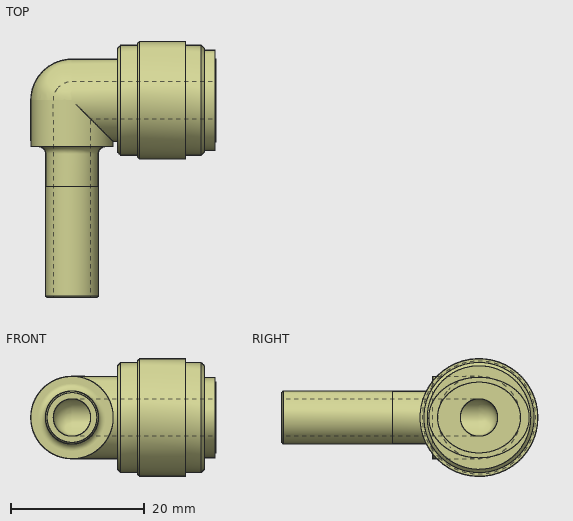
import cadquery as cq


elbow_radius = 6.15
elbow_end = 6.95
bore_radius = 2.8

stem_radius = 4.0
stem_tip = 29.5
stem_chamfer = 0.25
neck_radius = 3.95
neck_end = 12.9
root_fillet = 1.07

body_start = 6.78
body_end = 19.8
body_radius = 8.25
body_chamfer = 0.5
band_start = 9.75
band_end = 16.95
band_radius = 8.8
band_chamfer = 0.35

collar_end = 21.37
collar_half_width = 7.5
collar_half_height = 6.0
lip_end = 21.5
lip_half_width = 6.2
lip_half_height = 5.3


def along_x(start, end, radius):
    """Cylinder on the socket axis."""
    return cq.Workplane("YZ").workplane(offset=start).circle(radius).extrude(end - start)


def along_stem(start, end, radius):
    """Cylinder on the stem axis, with distances measured toward -Y."""
    return cq.Workplane("XZ").workplane(offset=start).circle(radius).extrude(end - start)


def oval_along_x(start, end, half_width, half_height):
    """Elliptical disc on the socket axis, wide in Y and lower in Z."""
    plane = cq.Workplane("YZ").workplane(offset=start)
    return plane.ellipse(half_width, half_height).extrude(end - start)


def rounded_corner(radius, socket_reach, stem_reach):
    """Right-angle pipe bend with a ball at the corner."""
    ball = cq.Workplane("XY").sphere(radius)
    return ball.union(along_x(0, socket_reach, radius)).union(along_stem(0, stem_reach, radius))


def make_stem():
    """Stem with a thinner neck, a flared root and a chamfered tip."""
    root_end = elbow_end + root_fillet
    root_radius = neck_radius + root_fillet
    flare = (
        cq.Workplane("XY")
        .moveTo(0, -elbow_end)
        .lineTo(root_radius, -elbow_end)
        .radiusArc((neck_radius, -root_end), -root_fillet)
        .lineTo(0, -root_end)
        .close()
        .revolve(360, (0, 0, 0), (0, 1, 0))
    )
    neck = along_stem(elbow_end, neck_end, neck_radius)
    tube = along_stem(neck_end, stem_tip, stem_radius).faces("<Y").chamfer(stem_chamfer)
    return neck.union(flare).union(tube)


def make_socket():
    """Chamfered socket body with a raised band and an oval collar."""
    body = along_x(body_start, body_end, body_radius).faces("<X or >X").chamfer(body_chamfer)
    band = along_x(band_start, band_end, band_radius).faces("<X").chamfer(band_chamfer)
    collar = oval_along_x(body_end, collar_end, collar_half_width, collar_half_height)
    lip = oval_along_x(collar_end, lip_end, lip_half_width, lip_half_height)
    return body.union(band).union(collar).union(lip)


elbow = rounded_corner(elbow_radius, body_start, elbow_end)
bore = rounded_corner(bore_radius, lip_end, stem_tip)
result = elbow.union(make_stem()).union(make_socket()).cut(bore)